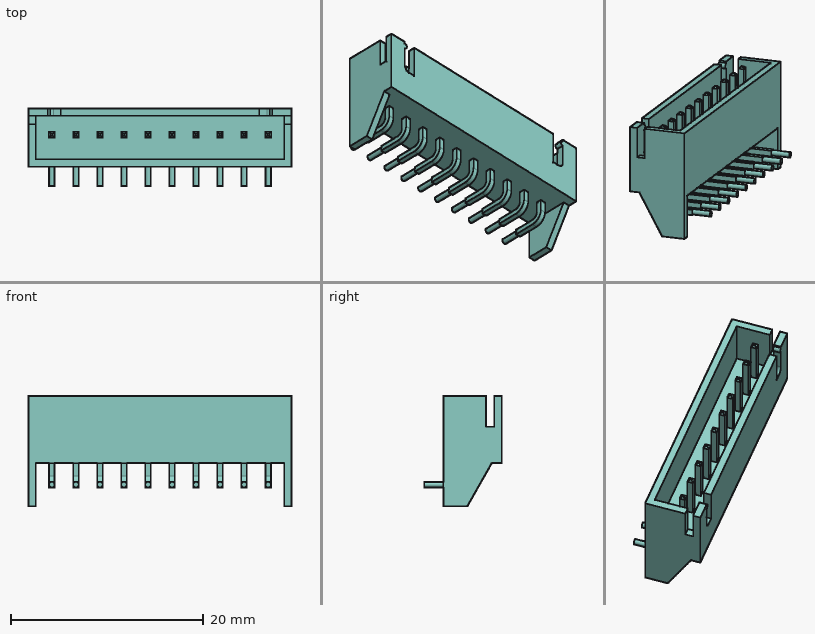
import cadquery as cq

PIN_COUNT = 10
PIN_PITCH = 2.5
PIN_SIZE = 0.6
PIN_ROUND_DIAMETER = 0.6
PIN_AXIS_HEIGHT = 2.27
PIN_BEND_RADIUS = 0.65
PIN_TOP_RECESS = 0.2
PIN_TIP_CHAMFER = 0.2
TAIL_LENGTH = 2.0

END_MARGIN = 2.45
LENGTH = (PIN_COUNT - 1) * PIN_PITCH + 2 * END_MARGIN
HEIGHT = 11.5
DEPTH = 6.1
PIN_FROM_BACK = 2.75
BOTTOM = 4.5
FLOOR_THICKNESS = 2.0
WALL = 0.8
BACK_WALL = 0.8
BACK = PIN_FROM_BACK
FRONT = BACK - DEPTH
INNER_BACK = BACK - BACK_WALL

LEG_STEP = 1.05
LEG_FOOT = 2.5

SIDE_SLOT_WIDTH = 0.85
SIDE_SLOT_DEPTH = 3.2
TAB_LENGTH = 2.0
TAB_GAP = 1.4
TAB_GAP_DEPTH = 3.7
TAB_ROOT_RADIUS = 0.6
BUMP_RADIUS = 0.3
BUMP_DROP = 0.5


def box(x_range, y_range, z_range):
    """Axis-aligned box spanning three (low, high) ranges."""
    lows, highs = zip(x_range, y_range, z_range)
    sizes = [high - low for low, high in zip(lows, highs)]
    return cq.Workplane("XY").box(*sizes, centered=False).translate(lows)


def make_shell():
    """Open-topped housing standing on two sloped end legs."""
    half = LENGTH / 2
    side_profile = [
        (FRONT, 0),
        (FRONT + LEG_FOOT, 0),
        (BACK - LEG_STEP, BOTTOM),
        (BACK, BOTTOM),
        (BACK, HEIGHT),
        (FRONT, HEIGHT),
    ]
    shell = cq.Workplane("YZ").polyline(side_profile).close().extrude(half, both=True)
    inner_x = (-half + WALL, half - WALL)
    under_space = box(inner_x, (FRONT, BACK), (0, BOTTOM))
    cavity = box(inner_x, (FRONT + WALL, INNER_BACK), (BOTTOM + FLOOR_THICKNESS, HEIGHT))
    return shell.cut(under_space).cut(cavity)


def cut_side_slots(shell):
    """Slots through both end walls that free the tabs from the ends."""
    slot_y = (INNER_BACK - SIDE_SLOT_WIDTH, INNER_BACK)
    return shell.cut(box((-LENGTH / 2, LENGTH / 2), slot_y, (HEIGHT - SIDE_SLOT_DEPTH, HEIGHT)))


def back_wall_plane():
    """Plane on the inner face of the back wall, with sketches drawn in X and Z."""
    return cq.Workplane("XZ", origin=(0, INNER_BACK, 0))


def make_left_gap():
    """Gap between the left tab and the back wall, filleted at the root of the tab."""
    tab_edge = -LENGTH / 2 + TAB_LENGTH
    gap_x = (tab_edge, tab_edge + TAB_GAP)
    gap = box(gap_x, (INNER_BACK, BACK), (HEIGHT - TAB_GAP_DEPTH, HEIGHT))
    return gap.edges("|Y and <X and <Z").fillet(TAB_ROOT_RADIUS)


def make_left_bump():
    """Half-round bump on the tab edge that faces the gap."""
    tab_edge = -LENGTH / 2 + TAB_LENGTH
    bump_axis = HEIGHT - BUMP_DROP
    return back_wall_plane().center(tab_edge, bump_axis).circle(BUMP_RADIUS).extrude(-BACK_WALL)


def add_latch_tabs(shell):
    """Cut the gaps and add the bumps at both ends."""
    gap = make_left_gap()
    bump = make_left_bump()
    shell = shell.cut(gap).cut(gap.mirror("YZ"))
    return shell.union(bump).union(bump.mirror("YZ"))


def make_pin():
    """Right-angle pin: square post, rounded bend and round solder tail."""
    half = PIN_SIZE / 2
    leg_bottom = PIN_AXIS_HEIGHT - half
    leg_top = PIN_AXIS_HEIGHT + half
    pin_top = HEIGHT - PIN_TOP_RECESS
    inner_radius = PIN_BEND_RADIUS
    outer_radius = inner_radius + PIN_SIZE
    bend_y = half - outer_radius
    bend_z = leg_bottom + outer_radius
    pin = (
        cq.Workplane("YZ")
        .moveTo(FRONT, leg_bottom)
        .lineTo(bend_y, leg_bottom)
        .radiusArc((half, bend_z), -outer_radius)
        .lineTo(half, pin_top)
        .lineTo(-half, pin_top)
        .lineTo(-half, bend_z)
        .radiusArc((bend_y, leg_top), inner_radius)
        .lineTo(FRONT, leg_top)
        .close()
        .extrude(half, both=True)
    )
    pin = pin.faces(">Z").chamfer(PIN_TIP_CHAMFER)
    tail = (
        cq.Workplane("XZ", origin=(0, FRONT, PIN_AXIS_HEIGHT))
        .circle(PIN_ROUND_DIAMETER / 2)
        .extrude(TAIL_LENGTH)
    )
    return pin.union(tail)


def add_pins(housing):
    """Join one pin per position along the row."""
    pin = make_pin()
    first_x = -(PIN_COUNT - 1) * PIN_PITCH / 2
    for index in range(PIN_COUNT):
        housing = housing.union(pin.translate((first_x + index * PIN_PITCH, 0, 0)))
    return housing


result = add_pins(add_latch_tabs(cut_side_slots(make_shell())))